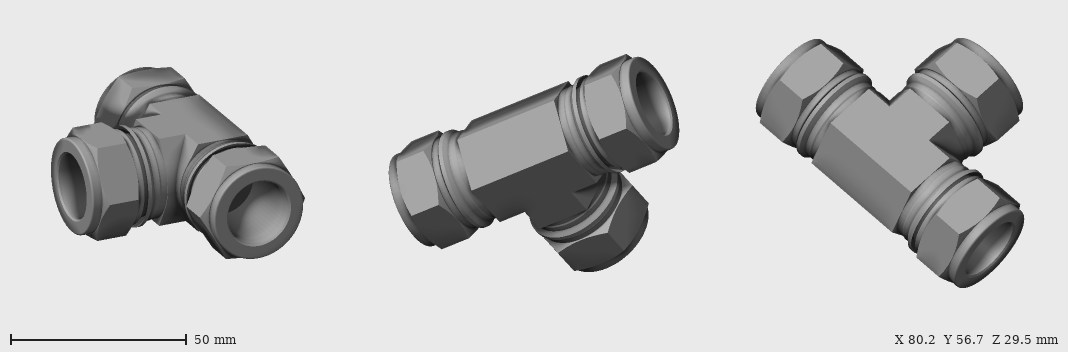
import cadquery as cq
import math

ARM_LENGTH = 40.1
BLOCK_REACH = 16.1
BLOCK_FLATS = 27.0

NUT_FLATS = 28.7
NUT_START = 3.05
NUT_END = 14.6
NUT_CHAMFER_ANGLE = 30.0
NOSE_DIAMETER = 28.2
NOSE_ROUND = 0.6

SKIRT_DIAMETER = 27.8
SKIRT_END = 16.6
SKIRT_ROUND = 0.3

NECK_DIAMETER = 25.4
NECK_END = 18.1
RELIEF_DIAMETER = 24.2
FLANGE_DIAMETER = 29.5
FLANGE_START = 17.2
FLANGE_THICKNESS = 1.2
SHOULDER_DIAMETER = 26.9
SHOULDER_END = 21.55
ROOT_DIAMETER = 26.5
ROOT_START = 22.0

BORE_DIAMETER = 19.2
BORE_CHAMFER = 0.5
SOCKET_DEPTH = ARM_LENGTH - BLOCK_REACH

ARM_ANGLES = (0, 180, -90)


def corner_diameter(across_flats):
    """Across-corners size of a regular hexagon."""
    return across_flats / math.cos(math.radians(30))


def revolve_arm(outline):
    """Turn a closed (distance from open end, radius) outline about the +X axis."""
    points = [(ARM_LENGTH - distance, radius) for distance, radius in outline]
    return cq.Workplane("XY").polyline(points).close().revolve(360, (0, 0, 0), (1, 0, 0))


def block_section():
    """Hexagon in the YZ plane whose -Y corner is rounded to the inscribed circle."""
    radius = BLOCK_FLATS / 2
    half_corners = corner_diameter(BLOCK_FLATS) / 2
    half_side = half_corners / 2
    tangent_y = -radius * math.cos(math.radians(30))
    tangent_z = radius * math.sin(math.radians(30))
    return (
        cq.Workplane("YZ")
        .moveTo(half_corners, 0)
        .lineTo(half_side, radius)
        .lineTo(-half_side, radius)
        .lineTo(tangent_y, tangent_z)
        .threePointArc((-radius, 0), (tangent_y, -tangent_z))
        .lineTo(-half_side, -radius)
        .lineTo(half_side, -radius)
        .close()
    )


def make_block():
    """Hexagonal tee block with a sharp edge along the back and rounded edges elsewhere."""
    run = block_section().extrude(BLOCK_REACH, both=True)
    half_branch = block_section().extrude(BLOCK_REACH)
    half_branch = half_branch.rotate((0, 0, 0), (0, 0, 1), -90)
    rounded_side = (
        cq.Workplane("XY")
        .box(2 * BLOCK_REACH, 2 * BLOCK_REACH, 2 * BLOCK_REACH)
        .translate((-BLOCK_REACH, -BLOCK_REACH, 0))
    )
    half_branch = half_branch.intersect(rounded_side)
    return run.union(half_branch).union(half_branch.mirror("YZ"))


def cylinder(diameter, start, end):
    """Cylinder on the +X arm between two distances from the open end."""
    return (
        cq.Workplane("YZ", origin=(ARM_LENGTH - end, 0, 0))
        .circle(diameter / 2)
        .extrude(end - start)
    )


def make_nut():
    """Compression nut of the +X arm: round nose, chamfered hexagon and round skirt."""
    nose = cylinder(NOSE_DIAMETER, 0, NUT_END).faces(">X").edges().fillet(NOSE_ROUND)
    skirt = cylinder(SKIRT_DIAMETER, NUT_START, SKIRT_END).faces("<X").edges().fillet(SKIRT_ROUND)
    return nose.union(skirt).union(make_nut_hexagon())


def make_stem():
    """Stem from the block to the nut of the +X arm: root, shoulder, dished flange, relief and neck."""
    flange_end = FLANGE_START + FLANGE_THICKNESS
    dish_depth = (FLANGE_DIAMETER - RELIEF_DIAMETER) / 2
    cone_length = (FLANGE_DIAMETER - SHOULDER_DIAMETER) / 2
    return revolve_arm([
        (NUT_END, 0),
        (NUT_END, NECK_DIAMETER / 2),
        (NECK_END, NECK_DIAMETER / 2),
        (NECK_END, RELIEF_DIAMETER / 2),
        (FLANGE_START + dish_depth, RELIEF_DIAMETER / 2),
        (FLANGE_START, FLANGE_DIAMETER / 2),
        (flange_end, FLANGE_DIAMETER / 2),
        (flange_end + cone_length, SHOULDER_DIAMETER / 2),
        (SHOULDER_END, SHOULDER_DIAMETER / 2),
        (ROOT_START, ROOT_DIAMETER / 2),
        (SOCKET_DEPTH, ROOT_DIAMETER / 2),
        (SOCKET_DEPTH, 0),
    ])


def make_nut_hexagon():
    """Hexagon of the nut on the +X arm, with its corners chamfered at both ends."""
    length = NUT_END - NUT_START
    half_corners = corner_diameter(NUT_FLATS) / 2
    face_radius = NUT_FLATS / 2
    chamfer_length = (half_corners - face_radius) * math.tan(math.radians(NUT_CHAMFER_ANGLE))
    hexagon = (
        cq.Workplane("YZ", origin=(ARM_LENGTH - NUT_END, 0, 0))
        .polygon(6, 2 * half_corners)
        .extrude(length)
    )
    chamfer_envelope = revolve_arm([
        (NUT_START, 0),
        (NUT_START, face_radius),
        (NUT_START + chamfer_length, half_corners),
        (NUT_END - chamfer_length, half_corners),
        (NUT_END, face_radius),
        (NUT_END, 0),
    ])
    return hexagon.intersect(chamfer_envelope)


def make_socket():
    """Blind tube socket of the +X arm with a chamfered mouth."""
    return revolve_arm([
        (0, 0),
        (0, BORE_DIAMETER / 2 + BORE_CHAMFER),
        (BORE_CHAMFER, BORE_DIAMETER / 2),
        (SOCKET_DEPTH, BORE_DIAMETER / 2),
        (SOCKET_DEPTH, 0),
    ])


result = make_block()
fitting = make_stem().union(make_nut()).cut(make_socket())
for angle in ARM_ANGLES:
    result = result.union(fitting.rotate((0, 0, 0), (0, 0, 1), angle))